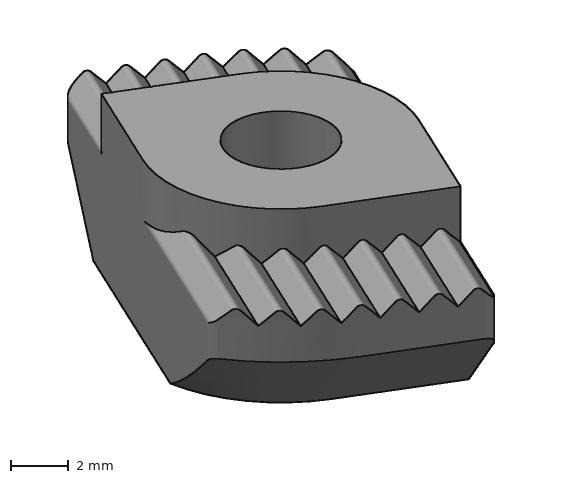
import cadquery as cq
import math

length = 19.0
width = 10.0
height = 7.1
land_height = 3.52
corner_radius = 0.5
hole_diameter = 4.2
peak_height = 5.55
tooth_pitch = 1.4
tooth_count = 7
tooth_shift = 0.04
crest_radius = 0.2

half_length = length / 2
half_width = width / 2
base_radius = half_length - land_height
sharp_peak_height = peak_height + crest_radius * (math.sqrt(2) - 1)
valley_height = sharp_peak_height - tooth_pitch / 2
first_peak = tooth_shift - tooth_pitch * (tooth_count - 1) / 2


def rounded_pair_outline(half_x, arc_radius):
    """Rectangle whose +X/-Y and -X/+Y corners follow arcs about the centre."""
    arc_x = math.sqrt(arc_radius**2 - half_width**2)
    middle_angle = math.atan2(half_width, arc_x) / 2
    middle_x = arc_radius * math.cos(middle_angle)
    middle_y = arc_radius * math.sin(middle_angle)
    return (
        cq.Workplane("XY")
        .moveTo(half_x, half_width)
        .lineTo(half_x, 0)
        .threePointArc((middle_x, -middle_y), (arc_x, -half_width))
        .lineTo(-half_x, -half_width)
        .lineTo(-half_x, 0)
        .threePointArc((-middle_x, middle_y), (-arc_x, half_width))
        .close()
    )


def toothed_plate():
    """Plate with a row of rounded 90 degree teeth running along X."""
    front_height = sharp_peak_height - (first_peak + half_width)
    profile = (
        cq.Workplane("YZ", origin=(-half_length, 0, 0))
        .moveTo(-half_width, 0)
        .lineTo(-half_width, front_height)
    )
    for index in range(tooth_count):
        peak = first_peak + index * tooth_pitch
        profile = profile.lineTo(peak, sharp_peak_height)
        profile = profile.lineTo(peak + tooth_pitch / 2, valley_height)
    plate = (
        profile.lineTo(half_width, valley_height)
        .lineTo(half_width, 0)
        .close()
        .extrude(length)
    )
    crest_zone = cq.selectors.BoxSelector(
        (-length, -width, peak_height),
        (length, width, height),
    )
    plate = plate.edges(crest_zone).fillet(crest_radius)
    front_edge = cq.selectors.NearestToPointSelector((0, -half_width, front_height))
    return plate.edges(front_edge).fillet(crest_radius)


def flared_envelope():
    """Solid limiting the wings: 45 degree flat and conical underside, upright ends."""
    bevel = (
        cq.Workplane("XZ", origin=(0, half_width, 0))
        .moveTo(-base_radius, 0)
        .lineTo(base_radius, 0)
        .lineTo(half_length, land_height)
        .lineTo(half_length, height)
        .lineTo(-half_length, height)
        .lineTo(-half_length, land_height)
        .close()
        .extrude(width)
    )
    round_body = (
        cq.Workplane("XZ")
        .lineTo(base_radius, 0)
        .lineTo(half_length, land_height)
        .lineTo(half_length, height)
        .lineTo(0, height)
        .close()
        .revolve(360, (0, 0, 0), (0, 1, 0))
    )
    quarter = cq.Workplane("XY").box(half_length, half_width, height, centered=False)
    flat_quarters = quarter.union(quarter.rotate((0, 0, 0), (0, 0, 1), 180))
    round_quarters = quarter.mirror("XZ").union(quarter.mirror("YZ"))
    limits = bevel.intersect(flat_quarters).union(round_body.intersect(round_quarters))
    corners = rounded_pair_outline(half_length, half_length).extrude(height)
    corners = corners.edges("|Z").edges("<Y or >Y").fillet(corner_radius)
    return limits.intersect(corners)


boss = rounded_pair_outline(half_width, half_width).extrude(height)
hole = cq.Workplane("XY").circle(hole_diameter / 2).extrude(height)

result = toothed_plate().intersect(flared_envelope()).union(boss).cut(hole)